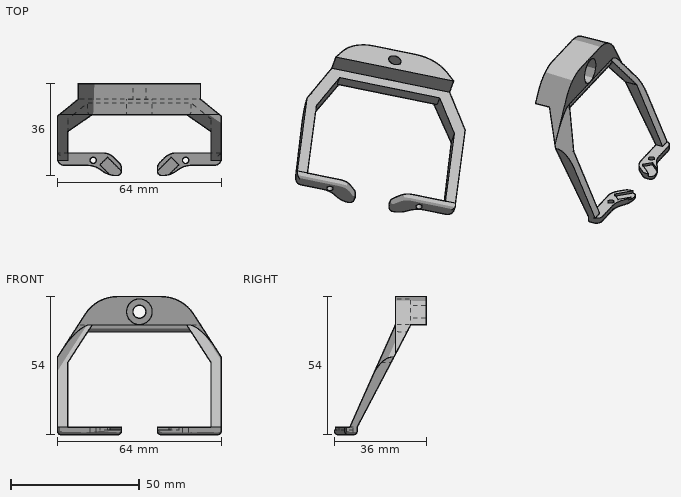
import cadquery as cq
import math

width = 64.0
depth = 36.0
height = 54.0
half_width = width / 2

top_flat_half = 8.6
shoulder_radius = 15.0
diagonal_foot_z = 30.35
diagonal_angle = math.radians(57.2)
diagonal_slope = math.tan(diagonal_angle)
shoulder_end_x = top_flat_half + shoulder_radius * math.sin(diagonal_angle)
shoulder_end_z = height - shoulder_radius * (1 - math.cos(diagonal_angle))
shoulder_mid_x = top_flat_half + shoulder_radius * math.sin(diagonal_angle / 2)
shoulder_mid_z = height - shoulder_radius * (1 - math.cos(diagonal_angle / 2))

leg_width = 4.1
opening_half = half_width - leg_width
opening_corner_z = 28.2
opening_top_z = 40.1

block_front_y = 23.8
block_bottom_z = 42.95
frame_back_top_y = 29.9
foot_height = 3.0
foot_back_y = 8.95
leg_front_y = 6.0
front_lean = (block_front_y - leg_front_y) / (block_bottom_z - foot_height)
back_lean = (frame_back_top_y - foot_back_y) / (block_bottom_z - foot_height)
diagonal_round = 5.0
bar_round = 2.0

hole_z = 48.05
hole_diameter = 5.0
bore_diameter = 10.0
bore_depth = 6.0

foot_front_y = 4.0
foot_corner_radius = 2.7
foot_tip_x = -7.0
tip_radius = 1.9
back_bend_x = -14.45
back_bend_radius = 6.5
nose_radius = 3.2
front_bend_x = -20.55
foot_round = 1.5
pin_hole_x = -18.05
pin_hole_diameter = 2.4
pocket_corner = (-12.4, 7.2)
pocket_width = 4.2
pocket_length = 12.8
pocket_depth = 1.0
pocket_angle = -45.0


def front_y(z):
    """Y of the sloping front plane at height z."""
    return leg_front_y + front_lean * (z - foot_height)


def back_y(z):
    """Y of the sloping back plane at height z."""
    return foot_back_y + back_lean * (z - foot_height)


def along_y(sketch):
    """Extrude an XZ outline through the whole depth."""
    return sketch.extrude(-depth)


def along_x(points):
    """Extrude a YZ outline across the whole width."""
    return cq.Workplane("YZ").polyline(points).close().extrude(half_width, both=True)


def make_arch_envelope():
    outline = (
        cq.Workplane("XZ")
        .moveTo(-half_width, 0)
        .lineTo(-half_width, diagonal_foot_z)
        .lineTo(-shoulder_end_x, shoulder_end_z)
        .threePointArc((-shoulder_mid_x, shoulder_mid_z), (-top_flat_half, height))
        .lineTo(top_flat_half, height)
        .threePointArc((shoulder_mid_x, shoulder_mid_z), (shoulder_end_x, shoulder_end_z))
        .lineTo(half_width, diagonal_foot_z)
        .lineTo(half_width, 0)
        .close()
    )
    return along_y(outline)


def make_opening(top_z):
    """Clearance between the legs, narrowing along the diagonals up to top_z."""
    top_half = opening_half - (top_z - opening_corner_z) / diagonal_slope
    return along_y(
        cq.Workplane("XZ")
        .polyline([
            (-opening_half, 0),
            (-opening_half, opening_corner_z),
            (-top_half, top_z),
            (top_half, top_z),
            (opening_half, opening_corner_z),
            (opening_half, 0),
        ])
        .close()
    )


def make_legs():
    """Sloping slab with rounded outer diagonals, cleared between the legs."""
    slab = along_x([
        (foot_back_y, foot_height),
        (leg_front_y, foot_height),
        (front_y(height), height),
        (back_y(height), height),
    ])
    diagonal_top_half = half_width - (height - diagonal_foot_z) / diagonal_slope
    outline = along_y(
        cq.Workplane("XZ")
        .polyline([
            (-half_width, 0),
            (-half_width, diagonal_foot_z),
            (-diagonal_top_half, height),
            (diagonal_top_half, height),
            (half_width, diagonal_foot_z),
            (half_width, 0),
        ])
        .close()
    )
    legs = slab.intersect(outline)
    middle_z = (diagonal_foot_z + height) / 2
    middle_x = (half_width + diagonal_top_half) / 2
    for side in (-1, 1):
        edge_point = (side * middle_x, front_y(middle_z), middle_z)
        legs = legs.edges(cq.NearestToPointSelector(edge_point)).fillet(diagonal_round)
    return legs.cut(make_opening(height))


def make_bar():
    """Cross bar under the block with a rounded lower front edge."""
    bar = along_x([
        (back_y(opening_top_z), opening_top_z),
        (front_y(opening_top_z), opening_top_z),
        (front_y(height), height),
        (back_y(height), height),
    ])
    bar_edge = (0, front_y(opening_top_z), opening_top_z)
    bar = bar.edges(cq.NearestToPointSelector(bar_edge)).fillet(bar_round)
    return bar.intersect(make_opening(height))


def make_block():
    front_bottom_z = foot_height + (block_front_y - foot_back_y) / back_lean
    block = along_x([
        (depth, height),
        (block_front_y, height),
        (block_front_y, front_bottom_z),
        (frame_back_top_y, block_bottom_z),
        (depth, block_bottom_z),
    ])
    return block.cut(make_opening(block_bottom_z))


def make_hole():
    face = cq.Workplane("XZ", origin=(0, block_front_y, hole_z))
    through = face.circle(hole_diameter / 2).extrude(-depth)
    bore = face.circle(bore_diameter / 2).extrude(-bore_depth)
    return through.union(bore)


def make_left_foot():
    diagonal = math.sqrt(0.5)
    back_bend_end = (
        back_bend_x + back_bend_radius * diagonal,
        foot_back_y - back_bend_radius * (1 - diagonal),
    )
    nose_start_x = foot_tip_x - nose_radius * (1 - diagonal)
    nose_start_y = back_bend_end[1] - (nose_start_x - back_bend_end[0])
    nose_end_y = nose_start_y - nose_radius * diagonal
    tip_bottom_x = foot_tip_x - tip_radius
    s_curve_middle = ((tip_bottom_x + front_bend_x) / 2, foot_front_y / 2)
    foot = (
        cq.Workplane("XY")
        .moveTo(-half_width, foot_back_y)
        .lineTo(back_bend_x, foot_back_y)
        .tangentArcPoint(back_bend_end, relative=False)
        .lineTo(nose_start_x, nose_start_y)
        .tangentArcPoint((foot_tip_x, nose_end_y), relative=False)
        .lineTo(foot_tip_x, tip_radius)
        .tangentArcPoint((tip_bottom_x, 0), relative=False)
        .tangentArcPoint(s_curve_middle, relative=False)
        .tangentArcPoint((front_bend_x, foot_front_y), relative=False)
        .lineTo(-half_width + foot_corner_radius, foot_front_y)
        .tangentArcPoint((-half_width, foot_front_y + foot_corner_radius), relative=False)
        .close()
        .extrude(foot_height)
        .faces("<Z").edges().fillet(foot_round)
    )
    pin_hole = cq.Workplane("XY").center(pin_hole_x, leg_front_y).circle(pin_hole_diameter / 2)
    pocket = (
        cq.Workplane("XY")
        .rect(pocket_length, -pocket_width, centered=False)
        .extrude(pocket_depth)
        .rotate((0, 0, 0), (0, 0, 1), pocket_angle)
        .translate((*pocket_corner, foot_height - pocket_depth))
    )
    return foot.cut(pin_hole.extrude(foot_height)).cut(pocket)


arch = make_legs().union(make_bar()).union(make_block()).intersect(make_arch_envelope())
left_foot = make_left_foot()
right_foot = left_foot.mirror("YZ")
result = arch.cut(make_hole()).union(left_foot).union(right_foot)